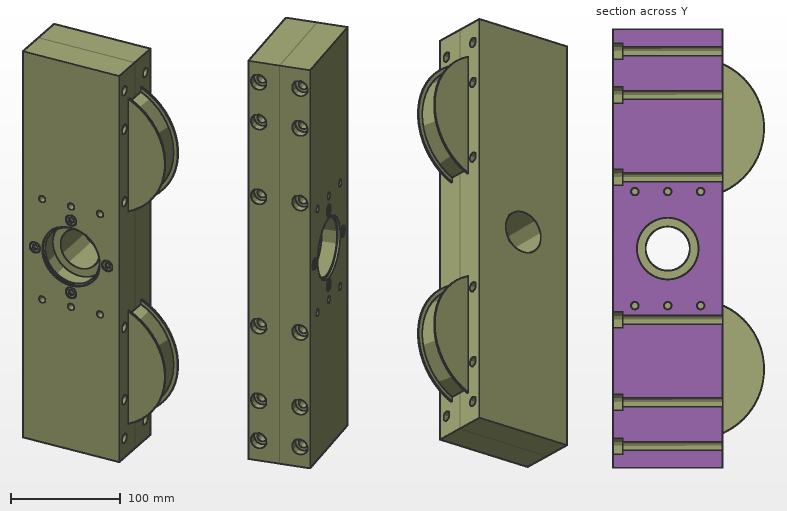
import cadquery as cq

width = 100.0
depth = 60.0
height = 400.0
plate_depth = depth / 2
front_y = -depth / 2

shaft_bore_diameter = 40.0
seat_diameter = 56.0
seat_rim_diameter = 60.0
seat_depth = 17.0
seat_rim_depth = 2.5

screw_circle_radius = 37.5
screw_recess_diameter = 11.0
screw_recess_depth = 6.0
screw_head_sink = 0.5
screw_head_diameter = 10.0
socket_across_flats = 5.0
socket_depth = 2.0

front_hole_diameter = 6.65
front_hole_depth = 15.0
front_hole_x = 30.0
front_hole_z = 52.0

cross_hole_diameter = 9.0
cross_counterbore_diameter = 15.0
cross_counterbore_depth = 9.0
cross_hole_y = 20.0
cross_hole_heights = (65.0, 140.0, 180.0)

roller_diameter = 120.0
flange_diameter = 128.0
roller_x = 24.0
roller_z = 110.0
roller_length = 26.0
flange_thickness = 1.5


def cylinder_along_y(diameter, y_start, length, x=0.0, z=0.0):
    """Cylinder running from y_start toward +Y."""
    axis = cq.Vector(0, 1, 0)
    return cq.Workplane(cq.Solid.makeCylinder(diameter / 2, length, cq.Vector(x, y_start, z), axis))


def make_housing():
    """Both plates fused, keeping the joint line between them."""
    front_plate = cq.Workplane("XY").box(width, plate_depth, height).translate((0, -plate_depth / 2, 0))
    rear_plate = front_plate.translate((0, plate_depth, 0))
    return front_plate.union(rear_plate, clean=False)


def make_roller(z):
    """Roller with a thin flange disc at each end."""
    roller = cylinder_along_y(roller_diameter, -roller_length / 2, roller_length, roller_x, z)
    for flange_y in (-roller_length / 2, roller_length / 2 - flange_thickness):
        flange = cylinder_along_y(flange_diameter, flange_y, flange_thickness, roller_x, z)
        roller = roller.union(flange)
    return roller


def make_central_bore():
    """Through bore, bearing seat and shallow rim recess."""
    through = cylinder_along_y(shaft_bore_diameter, front_y, depth)
    seat = cylinder_along_y(seat_diameter, front_y, seat_depth)
    rim = cylinder_along_y(seat_rim_diameter, front_y, seat_rim_depth)
    return through.union(seat).union(rim)


def make_screw_recess(x, z):
    """Space over and around one sunken screw head, with a hexagon socket in the head."""
    head_length = screw_recess_depth - screw_head_sink
    head_top_y = front_y + screw_head_sink
    recess = cylinder_along_y(screw_recess_diameter, front_y, screw_recess_depth)
    head = cylinder_along_y(screw_head_diameter, head_top_y, head_length)
    head_plane = cq.Workplane("XZ", origin=(0, head_top_y, 0))
    socket = head_plane.polygon(6, socket_across_flats, circumscribed=True).extrude(-socket_depth)
    return recess.cut(head.cut(socket)).translate((x, 0, z))


def make_front_holes():
    """Two rows of three blind holes."""
    points = [(x, z) for x in (-front_hole_x, 0, front_hole_x) for z in (-front_hole_z, front_hole_z)]
    front_plane = cq.Workplane("XZ", origin=(0, front_y, 0))
    return front_plane.pushPoints(points).circle(front_hole_diameter / 2).extrude(-front_hole_depth)


def make_cross_holes():
    """Through holes along X with counterbores on the -X side."""
    points = [
        (y, side * z)
        for y in (-cross_hole_y, cross_hole_y)
        for z in cross_hole_heights
        for side in (-1, 1)
    ]
    left_plane = cq.Workplane("YZ", origin=(-width / 2, 0, 0)).pushPoints(points)
    holes = left_plane.circle(cross_hole_diameter / 2).extrude(width)
    left_plane = cq.Workplane("YZ", origin=(-width / 2, 0, 0)).pushPoints(points)
    counterbores = left_plane.circle(cross_counterbore_diameter / 2).extrude(cross_counterbore_depth)
    return holes.union(counterbores)


body = make_housing()
for roller_height in (-roller_z, roller_z):
    body = body.union(make_roller(roller_height), clean=False)
body = body.cut(make_central_bore(), clean=False)
for offset in (-screw_circle_radius, screw_circle_radius):
    body = body.cut(make_screw_recess(offset, 0), clean=False)
    body = body.cut(make_screw_recess(0, offset), clean=False)
body = body.cut(make_front_holes(), clean=False)
body = body.cut(make_cross_holes(), clean=False)

result = body